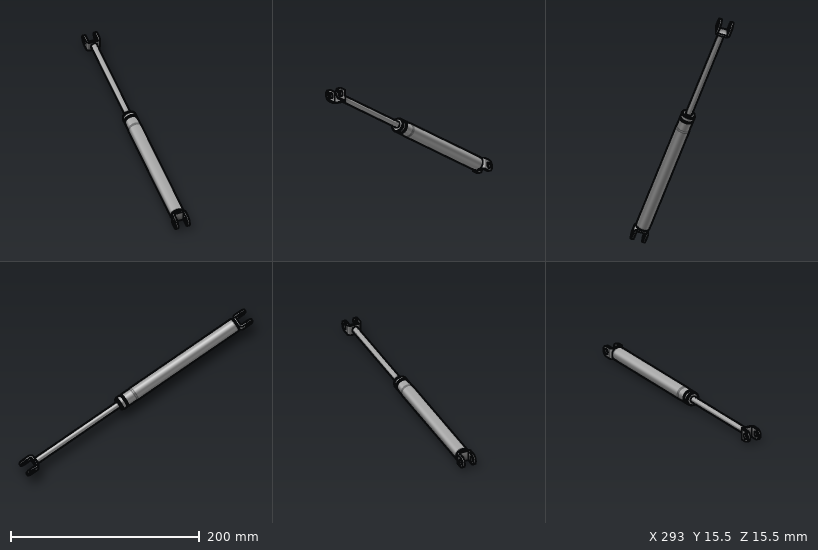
import cadquery as cq

length = 293.0
start_x = -length / 2
end_x = length / 2

fork_length = 16.0
fork_width = 15.5
fork_height = 12.0
strap_thickness = 2.5
bend_radius = 3.5
pin_hole_diameter = 6.2
lug_radius = fork_height / 2

rod_diameter = 7.0

nose_start_x = -23.0
nose_diameter = 13.5
nose_length = 1.8
gland_diameter = 15.0
groove_diameter = 14.0
groove_start_x = nose_start_x + 6.5
groove_width = 1.8
tube_diameter = 15.5
shoulder_start_x = nose_start_x + 18.8
shoulder_length = 1.8
tail_length = 1.8
tail_end_diameter = 15.0
neck_length = 1.2
neck_diameter = 10.5


def make_fork():
    """Fork with its lug tips at X = 0 and the back of its web at X = fork_length."""
    strap = cq.Workplane("XY").box(fork_length, fork_width, fork_height, centered=(False, True, True))
    strap = strap.edges("|Z and >X").fillet(bend_radius)

    gap_length = fork_length - strap_thickness
    gap_width = fork_width - 2 * strap_thickness
    gap = cq.Workplane("XY").box(gap_length, gap_width, fork_height, centered=(False, True, True))

    side_outline = (
        cq.Workplane("XZ")
        .moveTo(lug_radius, lug_radius)
        .lineTo(fork_length, lug_radius)
        .lineTo(fork_length, -lug_radius)
        .lineTo(lug_radius, -lug_radius)
        .threePointArc((0, 0), (lug_radius, lug_radius))
        .close()
        .extrude(fork_width, both=True)
    )
    pin_hole = (
        cq.Workplane("XZ", origin=(lug_radius, 0, 0))
        .circle(pin_hole_diameter / 2)
        .extrude(fork_width, both=True)
    )
    return strap.cut(gap).intersect(side_outline).cut(pin_hole)


def make_piston_rod():
    """Rod with a fork at its free end, its other end meeting the cylinder nose."""
    rod_start_x = start_x + fork_length
    rod = (
        cq.Workplane("YZ", origin=(rod_start_x, 0, 0))
        .circle(rod_diameter / 2)
        .extrude(nose_start_x - rod_start_x)
    )
    return make_fork().translate((start_x, 0, 0)).union(rod)


def make_barrel():
    """Turned body of the cylinder, from its nose to the neck behind its tail."""
    nose_end_x = nose_start_x + nose_length
    groove_end_x = groove_start_x + groove_width
    shoulder_end_x = shoulder_start_x + shoulder_length
    neck_end_x = end_x - fork_length
    tail_end_x = neck_end_x - neck_length
    tail_start_x = tail_end_x - tail_length

    return (
        cq.Workplane("XY")
        .moveTo(nose_start_x, 0)
        .lineTo(nose_start_x, nose_diameter / 2)
        .lineTo(nose_end_x, nose_diameter / 2)
        .lineTo(nose_end_x, gland_diameter / 2)
        .lineTo(groove_start_x, gland_diameter / 2)
        .lineTo(groove_start_x, groove_diameter / 2)
        .lineTo(groove_end_x, groove_diameter / 2)
        .lineTo(groove_end_x, gland_diameter / 2)
        .lineTo(shoulder_start_x, gland_diameter / 2)
        .lineTo(shoulder_end_x, tube_diameter / 2)
        .lineTo(tail_start_x, tube_diameter / 2)
        .lineTo(tail_end_x, tail_end_diameter / 2)
        .lineTo(tail_end_x, neck_diameter / 2)
        .lineTo(neck_end_x, neck_diameter / 2)
        .lineTo(neck_end_x, 0)
        .close()
        .revolve(360, (0, 0, 0), (1, 0, 0))
    )


def make_cylinder():
    """Barrel with the rear fork joined to its neck."""
    rear_fork = make_fork().rotate((0, 0, 0), (0, 0, 1), 180).translate((end_x, 0, 0))
    return make_barrel().union(rear_fork)


piston_rod = make_piston_rod()
cylinder = make_cylinder()

result = cq.Compound.makeCompound([piston_rod.val(), cylinder.val()])